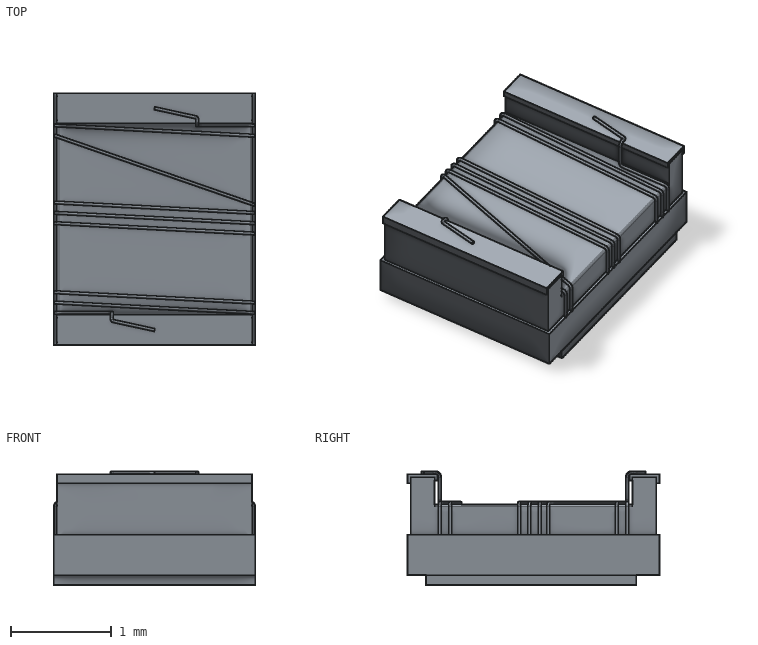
import cadquery as cq
import math

WIRE_DIAMETER = 0.03
CAP_THICKNESS = 0.03

PLATE_THICKNESS = 0.1
PLATE_FRONT = -1.068
PLATE_BACK = 1.02

BASE_LENGTH = 2.5
BASE_WIDTH = 2.0
BASE_TOP = 0.5
CAP_TOP = 1.1
CORE_WIDTH = 1.938
CORE_LENGTH = BASE_LENGTH - 2 * CAP_THICKNESS
CORE_TOP = CAP_TOP - CAP_THICKNESS
FLANGE_INNER_Y = 0.98
WEB_TOP = 0.8
WEB_EDGE_RADIUS = 0.02

CAP_OUTER_LIP_BOTTOM = 1.01
CAP_INNER_LIP_BOTTOM = 1.038

WIRE_RADIUS = WIRE_DIAMETER / 2
BACK_TURNS = 2
MIDDLE_TURNS = 4
FRONT_TURNS = 3
TURN_PITCH = 0.102
END_TURN_Y = 0.93
GROUP_TOP_Y = 0.165
LONG_STRAND_END_Y = 0.145
TURN_X = CORE_WIDTH / 2 + WIRE_RADIUS
STRAND_TOP = WEB_TOP + WIRE_RADIUS
TURN_BEND = WEB_EDGE_RADIUS + WIRE_RADIUS
STRAND_BOTTOM = BASE_TOP - TURN_BEND

LEAD_X = 0.422
LEAD_Z = CAP_TOP + WIRE_RADIUS
LEAD_CORNER_Y = 1.008
LEAD_END_Y = 1.1
LEAD_CAP_BEND = 0.045
LEAD_CORNER_BEND = 0.02


def block(x_size, y_min, y_max, z_min, z_max):
    """Box centred on X, between the given Y and Z limits."""
    size = (x_size, y_max - y_min, z_max - z_min)
    return cq.Workplane("XY").box(*size, centered=(True, False, False)).translate((0, y_min, z_min))


def make_plate():
    """Thin plate under the core, off centre along Y."""
    return block(BASE_WIDTH, PLATE_FRONT, PLATE_BACK, 0, PLATE_THICKNESS)


def make_core(winding):
    """Base, round-edged web and two end flanges in one piece, with channels for the wire."""
    base = block(BASE_WIDTH, -BASE_LENGTH / 2, BASE_LENGTH / 2, PLATE_THICKNESS, BASE_TOP)
    web = block(CORE_WIDTH, -FLANGE_INNER_Y, FLANGE_INNER_Y, BASE_TOP, WEB_TOP)
    web = web.edges("|Y and >Z").fillet(WEB_EDGE_RADIUS)
    flange = block(CORE_WIDTH, FLANGE_INNER_Y, CORE_LENGTH / 2, BASE_TOP, CORE_TOP)
    solid_core = base.union(web).union(flange).union(flange.mirror("XZ"))
    return solid_core.cut(winding)


def make_cap(side, winding):
    """Terminal cap on the +Y (side = 1) or -Y (side = -1) flange, notched where the lead bends over it."""
    outer_y = BASE_LENGTH / 2
    outer_wall_y = CORE_LENGTH / 2
    inner_y = FLANGE_INNER_Y - CAP_THICKNESS
    profile = [
        (outer_y, CAP_OUTER_LIP_BOTTOM),
        (outer_y, CAP_TOP),
        (inner_y, CAP_TOP),
        (inner_y, CAP_INNER_LIP_BOTTOM),
        (FLANGE_INNER_Y, CAP_INNER_LIP_BOTTOM),
        (FLANGE_INNER_Y, CORE_TOP),
        (outer_wall_y, CORE_TOP),
        (outer_wall_y, CAP_OUTER_LIP_BOTTOM),
    ]
    outline = [(side * y, z) for y, z in profile]
    channel = cq.Workplane("YZ").polyline(outline).close().extrude(CORE_WIDTH / 2, both=True)
    return channel.cut(winding)


def lead_corners(side):
    """Corners of a lead with their bend radii, from its free end down to the web."""
    return [
        (cq.Vector(0, side * LEAD_END_Y, LEAD_Z), 0),
        (cq.Vector(side * LEAD_X, side * LEAD_CORNER_Y, LEAD_Z), LEAD_CORNER_BEND),
        (cq.Vector(side * LEAD_X, side * END_TURN_Y, LEAD_Z), LEAD_CAP_BEND),
        (cq.Vector(side * LEAD_X, side * END_TURN_Y, STRAND_TOP), TURN_BEND),
    ]


def turn_positions(first_y, count):
    """Y positions of neighbouring turns, from the back towards the front."""
    return [first_y - i * TURN_PITCH for i in range(count)]


def winding_corners():
    """Corners of the whole wire, from the back lead around every turn to the front lead."""
    back_turns = turn_positions(END_TURN_Y, BACK_TURNS)
    middle_turns = turn_positions(GROUP_TOP_Y, MIDDLE_TURNS)
    front_turns = turn_positions(-END_TURN_Y + (FRONT_TURNS - 1) * TURN_PITCH, FRONT_TURNS)
    right_turns = back_turns + [LONG_STRAND_END_Y] + middle_turns[1:] + front_turns[1:]
    left_turns = back_turns + middle_turns[:-1] + front_turns

    corners = lead_corners(1)
    for right_y, left_y in zip(right_turns, left_turns):
        corners += [
            (cq.Vector(TURN_X, right_y, STRAND_TOP), TURN_BEND),
            (cq.Vector(TURN_X, right_y, STRAND_BOTTOM), TURN_BEND),
            (cq.Vector(-TURN_X, left_y, STRAND_BOTTOM), TURN_BEND),
            (cq.Vector(-TURN_X, left_y, STRAND_TOP), TURN_BEND),
        ]
    return corners + lead_corners(-1)[::-1]


def rounded_path(corners):
    """Straight runs through the corners, joined by a tangent arc at each inner corner."""
    edges = []
    start = corners[0][0]
    for i in range(1, len(corners) - 1):
        corner, radius = corners[i]
        back = (corners[i - 1][0] - corner).normalized()
        ahead = (corners[i + 1][0] - corner).normalized()
        half_angle = back.getAngle(ahead) / 2
        setback = radius / math.tan(half_angle)
        middle_offset = radius / math.sin(half_angle) - radius
        arc_start = corner + back * setback
        arc_middle = corner + (back + ahead).normalized() * middle_offset
        arc_end = corner + ahead * setback
        edges.append(cq.Edge.makeLine(start, arc_start))
        edges.append(cq.Edge.makeThreePointArc(arc_start, arc_middle, arc_end))
        start = arc_end
    edges.append(cq.Edge.makeLine(start, corners[-1][0]))
    return cq.Wire.assembleEdges(edges)


def make_winding():
    """Round wire swept along the winding path."""
    corners = winding_corners()
    start = corners[0][0]
    section_plane = cq.Plane(origin=start, normal=corners[1][0] - start)
    return cq.Workplane(section_plane).circle(WIRE_RADIUS).sweep(rounded_path(corners))


winding = make_winding()
core = make_core(winding)
plate = make_plate()
caps = [make_cap(side, winding) for side in (1, -1)]

result = cq.Compound.makeCompound([
    plate.solids().val(),
    core.solids().val(),
    *[cap.solids().val() for cap in caps],
    winding.solids().val(),
])